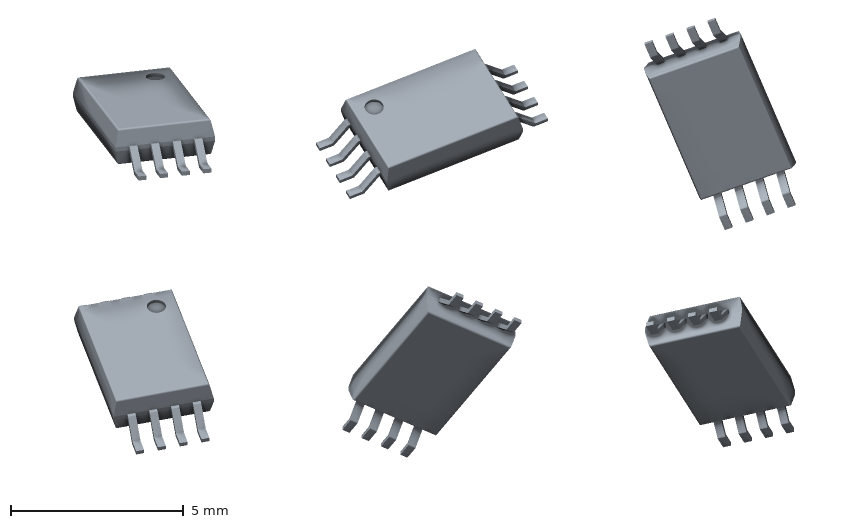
import cadquery as cq
import math

lead_span = 6.4
overall_height = 1.2

lead_count_per_side = 4
lead_pitch = 0.65
lead_width = 0.24
lead_thickness = 0.13
foot_length = 0.4
shoulder_length = 0.08
bend_radius = 0.05

housing_length = 4.4
housing_width = 3.0
housing_bottom = 0.1
band_top = 0.69
band_bottom = 0.56
draft_angle = 12.0
edge_radius = 0.065

mark_diameter = 0.55
mark_depth = 0.11
mark_x = -1.485
mark_y = 0.775


def make_tapered_half(start_height, height):
    """Block narrowing away from the parting band by the draft angle; negative height goes down."""
    block = cq.Workplane("XY").rect(housing_length, housing_width)
    block = block.extrude(abs(height), taper=draft_angle)
    if height < 0:
        block = block.mirror("XY")
    return block.translate((0, 0, start_height))


def make_housing():
    """Moulded body: straight parting band between two tapered halves, with the pin 1 recess."""
    band = (
        cq.Workplane("XY")
        .workplane(offset=band_bottom)
        .rect(housing_length, housing_width)
        .extrude(band_top - band_bottom)
    )
    upper = make_tapered_half(band_top, overall_height - band_top)
    upper = upper.faces(">Z").edges().fillet(edge_radius)
    lower = make_tapered_half(band_bottom, housing_bottom - band_bottom)
    lower = lower.faces("<Z").edges().fillet(edge_radius)
    mark = (
        cq.Workplane("XY")
        .workplane(offset=overall_height - mark_depth)
        .center(mark_x, mark_y)
        .circle(mark_diameter / 2)
        .extrude(mark_depth)
    )
    return band.union(upper).union(lower).cut(mark)


def make_lead():
    """Gull-wing lead of constant thickness on the +X side, centred on Y = 0."""
    root_x = housing_length / 2
    tip_x = lead_span / 2
    shoulder_bottom = band_top - lead_thickness
    upper_bend_x = root_x + shoulder_length
    lower_bend_x = tip_x - foot_length
    slope = math.atan2(shoulder_bottom, lower_bend_x - upper_bend_x)
    corner_shift = lead_thickness * math.tan(slope / 2)
    profile = [
        (root_x, band_top),
        (upper_bend_x, band_top),
        (lower_bend_x, lead_thickness),
        (tip_x, lead_thickness),
        (tip_x, 0),
        (lower_bend_x - corner_shift, 0),
        (upper_bend_x - corner_shift, shoulder_bottom),
        (root_x, shoulder_bottom),
    ]
    lead = cq.Workplane("XZ").polyline(profile).close().extrude(lead_width / 2, both=True)
    return lead.edges("|Y and (not <X) and (not >X)").fillet(bend_radius)


def make_leads():
    """All leads: one row on +X and the same row turned half a turn about Z."""
    lead = make_lead()
    row_start = -lead_pitch * (lead_count_per_side - 1) / 2
    leads = []
    for index in range(lead_count_per_side):
        placed = lead.translate((0, row_start + index * lead_pitch, 0))
        leads.append(placed)
        leads.append(placed.rotate((0, 0, 0), (0, 0, 1), 180))
    return leads


housing = make_housing()
leads = make_leads()

result = cq.Compound.makeCompound([housing.val(), *[lead.val() for lead in leads]])